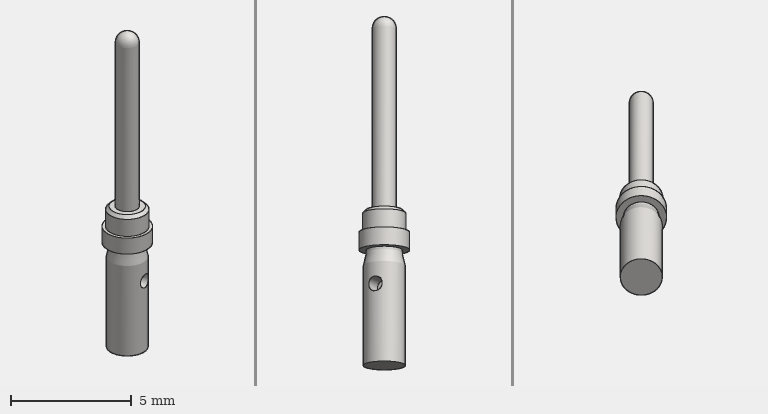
import cadquery as cq

total_height = 14.8

barrel_diameter = 1.75
neck_diameter = 1.5
flange_diameter = 2.1
collar_diameter = 1.8
pin_diameter = 1.0

barrel_top = 4.23
taper_top = 4.77
neck_top = 4.9
flange_top = 5.65
collar_top = 6.6
collar_chamfer = 0.15

hole_diameter = 0.62
hole_height = 3.32


def cylinder(diameter, bottom, top):
    """Return a cylinder on the Z axis between two heights."""
    return cq.Workplane("XY").workplane(offset=bottom).circle(diameter / 2).extrude(top - bottom)


def make_barrel():
    """Return the barrel, tapering at its upper end to the narrow neck."""
    barrel = cylinder(barrel_diameter, 0, barrel_top)
    taper = (
        barrel.faces(">Z").workplane()
        .circle(barrel_diameter / 2)
        .workplane(offset=taper_top - barrel_top)
        .circle(neck_diameter / 2)
        .loft(combine=False)
    )
    neck = cylinder(neck_diameter, taper_top, neck_top)
    return barrel.union(taper).union(neck)


def make_collar():
    """Return the retaining flange with the chamfered collar above it."""
    flange = cylinder(flange_diameter, neck_top, flange_top)
    collar = cylinder(collar_diameter, flange_top, collar_top)
    collar = collar.faces(">Z").chamfer(collar_chamfer)
    return flange.union(collar)


def make_pin():
    """Return the contact pin with its hemispherical tip."""
    tip_radius = pin_diameter / 2
    tip_center = total_height - tip_radius
    return (
        cq.Workplane("XZ")
        .moveTo(0, collar_top)
        .lineTo(tip_radius, collar_top)
        .lineTo(tip_radius, tip_center)
        .radiusArc((0, total_height), -tip_radius)
        .close()
        .revolve(360, (0, 0), (0, 1))
    )


def make_inspection_hole():
    """Return the cutter that runs from the axis out through the +X side."""
    return (
        cq.Workplane("YZ")
        .center(0, hole_height)
        .circle(hole_diameter / 2)
        .extrude(barrel_diameter)
    )


result = make_barrel().union(make_collar()).union(make_pin()).cut(make_inspection_hole())